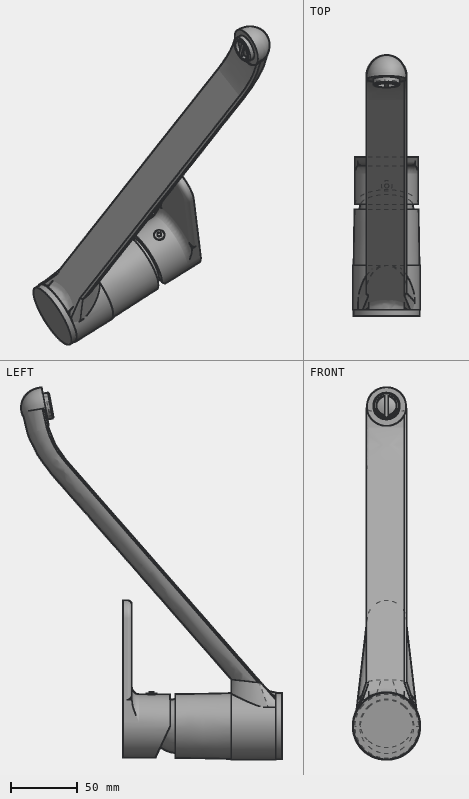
import math

import cadquery as cq


cap_end_y = 4.8
cap_radius = 25.0
collar_end_y = 38.3
collar_radius = 25.475
sleeve_end_y = 80.5
sleeve_radius_front = 24.9
sleeve_radius_back = 24.2
ball_radius = 20.5
ball_center_y = 78.7

handle_start_y = 84.1
handle_end_y = 119.7
handle_radius = 23.9
tilt_relief_angle = 25.0
lever_thickness = 6.8
lever_top_z = 94.6
lever_tip_radius = 14.6
lever_edge_radius = 3.4
lever_root_radius = 5.5
button_y = 98.1
button_radius = 4.0
button_height = 0.9
button_crown_radius = 1.6
button_crown_height = 1.7

spout_half_width = 15.35
spout_flat_half_width = 13.4
spout_edge_depth = 1.4
arm_depth = 15.2
spout_tilt = 41.2
bend_start_y = 162.3
bend_start_z = 199.8
bend_radius = 63.6
bend_turn = 25.2
tip_bend_radius = 130.0
tip_bend_turn = 6.6
mid_bend_depth = 15.6
bend_depth = 16.4
tip_depth = 16.6
arm_end_z = 18.0

foot_z = 14.0
foot_half_width = 21.4
foot_flat_half_width = 20.0
foot_edge_depth = 11.0
foot_overhang = 4.0
foot_top_front_z = 32.5
foot_top_back_y = 39.2
foot_top_back_z = 35.0
front_blend_radius = 8.8

head_face_y = 178.0
head_face_z = 240.15
head_tilt = 10.5
head_radius = 14.8
head_rim = 2.7
dome_depth = 15.75
aerator_radius = 10.0
aerator_height = 4.7
aerator_edge = 1.0
aerator_bore_radius = 7.5
aerator_bore_depth = 3.0
aerator_dome_height = 1.5
aerator_bar_width = 2.7

lever_front_y = handle_end_y - lever_thickness
lever_tip_center_z = lever_top_z - lever_tip_radius


def cylinder_y(radius, start_y, end_y):
    """Cylinder about the body axis between two Y positions."""
    return cq.Workplane("XZ", origin=(0, start_y, 0)).circle(radius).extrude(start_y - end_y)


def make_body():
    """Cap, collar, tapered sleeve and the ball the handle tilts on."""
    sleeve = (
        cq.Workplane("XY")
        .moveTo(0, collar_end_y)
        .lineTo(sleeve_radius_front, collar_end_y)
        .lineTo(sleeve_radius_back, sleeve_end_y)
        .lineTo(0, sleeve_end_y)
        .close()
        .revolve(360, (0, 0, 0), (0, 1, 0))
    )
    ball = cq.Workplane("XY").sphere(ball_radius).translate((0, ball_center_y, 0))
    return (
        cylinder_y(cap_radius, 0, cap_end_y)
        .union(cylinder_y(collar_radius, cap_end_y, collar_end_y))
        .union(sleeve)
        .union(ball)
    )


def lever_outline(start_y, end_y):
    """Outline of the handle and lever: two circles joined by their tangents, as a prism."""
    taper = math.asin((handle_radius - lever_tip_radius) / lever_tip_center_z)
    root_x = handle_radius * math.cos(taper)
    root_z = handle_radius * math.sin(taper)
    tip_x = lever_tip_radius * math.cos(taper)
    tip_z = lever_tip_center_z + lever_tip_radius * math.sin(taper)
    return (
        cq.Workplane("XZ", origin=(0, start_y, 0))
        .moveTo(-root_x, root_z)
        .lineTo(-tip_x, tip_z)
        .threePointArc((0, lever_top_z), (tip_x, tip_z))
        .lineTo(root_x, root_z)
        .threePointArc((0, -handle_radius), (-root_x, root_z))
        .close()
        .extrude(start_y - end_y)
    )


def make_lever():
    """Upright plate that flares smoothly out of the handle barrel."""
    root_start_y = lever_front_y - lever_root_radius
    flare_radius = handle_radius + lever_root_radius
    bulge = lever_root_radius * math.sin(math.radians(45))
    flare = (
        cq.Workplane("XY")
        .moveTo(0, root_start_y)
        .lineTo(handle_radius, root_start_y)
        .threePointArc((flare_radius - bulge, root_start_y + bulge), (flare_radius, lever_front_y))
        .lineTo(flare_radius, handle_end_y)
        .lineTo(0, handle_end_y)
        .close()
        .revolve(360, (0, 0, 0), (0, 1, 0))
        .intersect(lever_outline(root_start_y, handle_end_y))
    )
    above_barrel = cq.selectors.BoxSelector(
        (-flare_radius, 0, flare_radius), (flare_radius, handle_end_y, 2 * lever_top_z)
    )
    plate = lever_outline(lever_front_y, handle_end_y)
    plate = plate.faces("<Y").edges(above_barrel).fillet(lever_edge_radius)
    return plate.union(flare)


def make_handle():
    """Barrel, lever and index button; the underside is relieved so it can tilt."""
    relief_rise = handle_radius * 2
    relief_run = relief_rise * math.tan(math.radians(tilt_relief_angle))
    relief = (
        cq.Workplane("YZ", origin=(-handle_radius * 2, 0, 0))
        .moveTo(handle_start_y, 0)
        .lineTo(handle_start_y + relief_run, -relief_rise)
        .lineTo(0, -relief_rise)
        .lineTo(0, 0)
        .close()
        .extrude(handle_radius * 4)
    )
    barrel = cylinder_y(handle_radius, handle_start_y, handle_end_y)
    button_base = cq.Workplane("XY", origin=(0, button_y, 0))
    button = button_base.circle(button_radius).extrude(handle_radius + button_height)
    crown = button_base.circle(button_crown_radius).extrude(handle_radius + button_crown_height)
    return barrel.union(make_lever()).cut(relief).union(button).union(crown)


def spout_section(plane, half_width, flat_half_width, edge_depth, depth):
    """D-shaped wire: flat side on the plane's X axis, rounded side toward its +Y."""
    shoulder = math.sqrt(0.5)
    corner = edge_depth * (1 - shoulder)
    return (
        cq.Workplane(plane)
        .moveTo(-flat_half_width, 0)
        .lineTo(flat_half_width, 0)
        .threePointArc(
            (flat_half_width + (half_width - flat_half_width) * shoulder, corner),
            (half_width, edge_depth),
        )
        .ellipseArc(half_width, depth - edge_depth, 0, 180, startAtCurrent=True)
        .close()
    )


def section_plane(y, z, tilt):
    """Plane across the spout at a point of its front flat, facing down the spout toward the body."""
    angle = math.radians(tilt)
    return cq.Plane(origin=(0, y, z), xDir=(-1, 0, 0), normal=(0, -math.sin(angle), -math.cos(angle)))


def bend_end(y, z, tilt, radius, turn):
    """Point and tilt reached by following a bend of the spout's front flat."""
    start = math.radians(tilt)
    end = math.radians(tilt - turn)
    end_y = y + radius * (math.cos(end) - math.cos(start))
    end_z = z + radius * (math.sin(start) - math.sin(end))
    return end_y, end_z, tilt - turn


def spout_slice(y, z, tilt, depth):
    """Spout cross section of the given depth at a station of its front flat."""
    plane = section_plane(y, z, tilt)
    return spout_section(plane, spout_half_width, spout_flat_half_width, spout_edge_depth, depth)


def make_bends():
    """Main bend and gentler tip bend, growing deeper toward the head."""
    start = (bend_start_y, bend_start_z, spout_tilt)
    middle = bend_end(*start, bend_radius, bend_turn / 2)
    end = bend_end(*start, bend_radius, bend_turn)
    tip = bend_end(*end, tip_bend_radius, tip_bend_turn)
    stations = ((start, arm_depth), (middle, mid_bend_depth), (end, bend_depth), (tip, tip_depth))
    start_wire, middle_wire, end_wire, tip_wire = [
        spout_slice(*station, depth).val() for station, depth in stations
    ]
    main_bend = cq.Solid.makeLoft([start_wire, middle_wire, end_wire])
    tip_bend = cq.Solid.makeLoft([end_wire, tip_wire], True)
    return cq.Workplane(main_bend).union(cq.Workplane(tip_bend))


def make_arm():
    """Straight part of the spout, ending inside the collar."""
    length = (bend_start_z - arm_end_z) / math.cos(math.radians(spout_tilt))
    return spout_slice(bend_start_y, bend_start_z, spout_tilt, arm_depth).extrude(length)


def arm_flat_y(z):
    """Y of the arm's front flat at a given height."""
    return bend_start_y - (bend_start_z - z) * math.tan(math.radians(spout_tilt))


def make_foot():
    """Root of the spout, widening downward until it meets the collar."""
    bottom_y = arm_flat_y(foot_z)
    bottom_plane = cq.Plane(origin=(0, bottom_y, foot_z), xDir=(-1, 0, 0), normal=(0, 0, -1))
    bottom_depth = collar_end_y + foot_overhang - bottom_y
    bottom = spout_section(
        bottom_plane, foot_half_width, foot_flat_half_width, foot_edge_depth, bottom_depth
    )
    top_y = arm_flat_y(foot_top_front_z)
    top_run = foot_top_back_y - top_y
    top_rise = foot_top_back_z - foot_top_front_z
    top_plane = cq.Plane(
        origin=(0, top_y, foot_top_front_z), xDir=(-1, 0, 0), normal=(0, top_rise, -top_run)
    )
    top = spout_section(
        top_plane,
        spout_half_width,
        spout_flat_half_width,
        spout_edge_depth,
        math.hypot(top_run, top_rise),
    )
    foot = cq.Workplane(cq.Solid.makeLoft([bottom.val(), top.val()], True))
    collar_length = collar_end_y - cap_end_y
    collar_span = cq.Workplane("XY").box(4 * collar_radius, collar_length, 4 * collar_radius)
    return foot.intersect(collar_span.translate((0, cap_end_y + collar_length / 2, 0)))


def make_front_blend():
    """Concave fillet between the top of the collar and the spout's flat front.

    Cut from an endless cylinder of the collar's radius, filleted where it meets the plane of the flat.
    """
    reach = 4 * foot_top_back_y
    behind_flat = (
        cq.Workplane(section_plane(arm_flat_y(0), 0, spout_tilt))
        .center(0, reach / 2)
        .rect(reach, reach)
        .extrude(reach, both=True)
    )
    filleted = (
        cylinder_y(collar_radius, -reach / 2, reach / 2)
        .union(behind_flat)
        .edges("%ELLIPSE")
        .fillet(front_blend_radius)
    )
    strip_height = foot_top_front_z - foot_z
    strip_length = arm_flat_y(foot_top_front_z) - cap_end_y
    strip = cq.Workplane("XY", origin=(0, cap_end_y, foot_z)).box(
        2 * spout_flat_half_width, strip_length, strip_height, centered=(True, False, False)
    )
    return filleted.intersect(strip)


def make_head():
    """Domed disc that closes the spout, with the aerator standing on its face.

    Modelled about the Z axis with the face at Z = 0, then tilted into place.
    """
    head = (
        cq.Workplane("XZ")
        .lineTo(head_radius, 0)
        .lineTo(head_radius, -head_rim)
        .ellipseArc(head_radius, dome_depth, 270, 360, startAtCurrent=True, sense=-1)
        .lineTo(0, 0)
        .close()
        .revolve(360, (0, 0, 0), (0, 1, 0))
    )
    ring = cq.Workplane("XY").circle(aerator_radius).extrude(aerator_height)
    ring = ring.faces(">Z").chamfer(aerator_edge)
    floor_z = aerator_height - aerator_bore_depth
    floor = cq.Workplane("XY", origin=(0, 0, floor_z))
    bore = floor.circle(aerator_bore_radius).extrude(aerator_bore_depth)
    dome_radius = (aerator_bore_radius**2 + aerator_dome_height**2) / (2 * aerator_dome_height)
    dome_center_z = floor_z + aerator_dome_height - dome_radius
    dome = cq.Workplane("XY").sphere(dome_radius).translate((0, 0, dome_center_z))
    bar = floor.rect(aerator_bar_width, 2 * aerator_bore_radius).extrude(aerator_bore_depth).intersect(bore)
    head = head.union(ring.cut(bore.cut(dome))).union(bar)
    return head.rotate((0, 0, 0), (1, 0, 0), 90 - head_tilt).translate((0, head_face_y, head_face_z))


def make_spout():
    """Foot, arm, two bends and the head."""
    return make_arm().union(make_foot()).union(make_front_blend()).union(make_bends()).union(make_head())


result = make_body().union(make_handle()).union(make_spout())